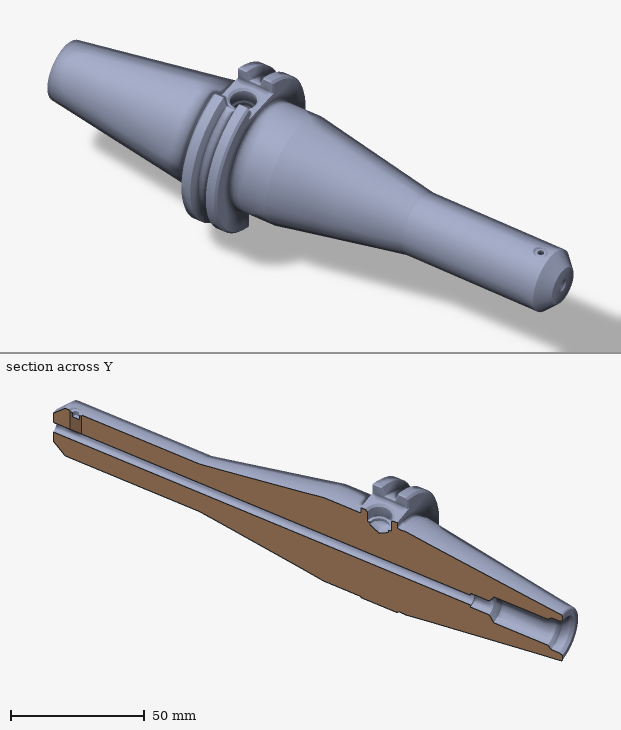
import cadquery as cq
import math

total_length = 220.6

taper_length = 68.5
gauge_dia = 44.4
taper_ratio = 7 / 24
tip_fillet = 1.0

neck_dia = 44.0
neck_lead = 0.5

flange_start = 71.5
flange_width = 15.9
flange_dia = 63.5
flange_chamfer = 0.9
flange_root_fillet = 0.7
groove_root_dia = 56.3
groove_root_width = 4.0
groove_top_width = 6.8

collar_dia = 44.4
collar_end = 103.5
shank_start = 157.3
shank_dia = 25.4
nose_chamfer = 5.0

slot_width = 16.0
upper_slot_floor = 25.0
lower_slot_floor = 22.7
slot_corner_fillet = 0.7
slot_edge_chamfer = 0.55

dimple_mouth_dia = 12.0
dimple_entry_dia = 10.1
dimple_drill_dia = 8.0
dimple_entry_depth = 5.7
dimple_depth = 7.0

bore_mouth_dia = 18.0
bore_mouth_length = 1.3
counterbore_dia = 16.5
counterbore_depth = 4.9
thread_core_dia = 13.5
thread_depth = 29.8
pilot_dia = 7.0
pilot_depth = 39.7
coolant_dia = 4.9

drill_point_angle = 118.0

screw_setback = 9.7
screw_dia = 4.9
screw_recess = 0.7
screw_mouth_dia = 6.0
socket_width = 2.5
socket_depth = 2.2

tip_dia = gauge_dia - taper_length * taper_ratio
flange_end = flange_start + flange_width
flange_middle = flange_start + flange_width / 2
flange_radius = flange_dia / 2
shank_radius = shank_dia / 2
screw_x = total_length - screw_setback
screw_top = shank_radius - screw_recess
screw_bottom = coolant_dia / 2


def cone_length(large_dia, small_dia):
    """Length of a drill point that narrows from one diameter to another."""
    return (large_dia - small_dia) / 2 / math.tan(math.radians(drill_point_angle / 2))


def revolved(profile):
    """Solid of revolution about X from (x, radius) points."""
    first_x = profile[0][0]
    last_x = profile[-1][0]
    outline = [(first_x, 0), *profile, (last_x, 0)]
    return cq.Workplane("XY").polyline(outline).close().revolve(360, (0, 0, 0), (1, 0, 0))


def revolved_upright(outline, x):
    """Solid of revolution about the vertical line at x from a closed (radius, z) outline."""
    turned = cq.Workplane("XZ").polyline(outline).close().revolve(360, (0, 0, 0), (0, 1, 0))
    return turned.translate((x, 0, 0))


def taper():
    return revolved([
        (0, tip_dia / 2),
        (taper_length, gauge_dia / 2),
        (taper_length + neck_lead, neck_dia / 2),
        (flange_start, neck_dia / 2),
    ]).faces("<X").edges().fillet(tip_fillet)


def slot_cutter(floor, side):
    """Block that opens a drive slot outward in Z on the given side."""
    height = flange_radius
    block = cq.Workplane("XY").box(flange_width, slot_width, height)
    return block.translate((flange_middle, 0, side * (floor + height / 2)))


def slot_wall_edges(body, at_floor):
    """Edges in the slot walls: the floor corners, or all the others."""
    tolerance = 0.002
    found = []
    for edge in body.edges().vals():
        box = edge.BoundingBox()
        on_wall = box.ylen < tolerance and abs(abs(box.center.y) - slot_width / 2) < tolerance
        floor = upper_slot_floor if box.center.z > 0 else lower_slot_floor
        on_floor = abs(abs(box.center.z) - floor) < tolerance
        if on_wall and on_floor == at_floor:
            found.append(edge)
    return body.newObject(found)


def flange():
    body = revolved([
        (flange_start, flange_radius - flange_chamfer),
        (flange_start + flange_chamfer, flange_radius),
        (flange_middle - groove_top_width / 2, flange_radius),
        (flange_middle - groove_root_width / 2, groove_root_dia / 2),
        (flange_middle + groove_root_width / 2, groove_root_dia / 2),
        (flange_middle + groove_top_width / 2, flange_radius),
        (flange_end - flange_chamfer, flange_radius),
        (flange_end, flange_radius - flange_chamfer),
    ])
    body = body.cut(slot_cutter(upper_slot_floor, 1)).cut(slot_cutter(lower_slot_floor, -1))
    body = slot_wall_edges(body, at_floor=False).chamfer(slot_edge_chamfer)
    return slot_wall_edges(body, at_floor=True).fillet(slot_corner_fillet)


def nose():
    return revolved([
        (flange_end, collar_dia / 2),
        (collar_end, collar_dia / 2),
        (shank_start, shank_radius),
        (total_length - nose_chamfer, shank_radius),
        (total_length, shank_radius - nose_chamfer),
    ])


def flange_dimple():
    mouth_chamfer = (dimple_mouth_dia - dimple_entry_dia) / 2
    floor = upper_slot_floor
    return revolved_upright([
        (0, floor),
        (dimple_mouth_dia / 2, floor),
        (dimple_entry_dia / 2, floor - mouth_chamfer),
        (dimple_entry_dia / 2, floor - dimple_entry_depth),
        (dimple_drill_dia / 2, floor - dimple_entry_depth),
        (dimple_drill_dia / 2, floor - dimple_depth),
        (0, floor - dimple_depth - cone_length(dimple_drill_dia, 0)),
    ], flange_middle)


def axial_bore():
    step = (counterbore_dia - thread_core_dia) / 2
    return revolved([
        (0, bore_mouth_dia / 2),
        (bore_mouth_length, counterbore_dia / 2),
        (counterbore_depth, counterbore_dia / 2),
        (counterbore_depth + step, thread_core_dia / 2),
        (thread_depth, thread_core_dia / 2),
        (thread_depth + cone_length(thread_core_dia, pilot_dia), pilot_dia / 2),
        (pilot_depth, pilot_dia / 2),
        (pilot_depth, coolant_dia / 2),
        (total_length, coolant_dia / 2),
    ])


def screw_hole():
    """Cross hole into the axial bore, widened at the shank surface."""
    mouth_chamfer = (screw_mouth_dia - screw_dia) / 2
    return revolved_upright([
        (0, 0),
        (screw_dia / 2, 0),
        (screw_dia / 2, shank_radius - mouth_chamfer),
        (screw_mouth_dia / 2, shank_radius),
        (0, shank_radius),
    ], screw_x)


def flange_roots(body):
    """Circles where the neck and the collar run into the flange faces."""
    root_radius = {flange_start: neck_dia / 2, flange_end: collar_dia / 2}
    roots = []
    for edge in body.edges("%CIRCLE").vals():
        for x, radius in root_radius.items():
            if math.isclose(edge.Center().x, x) and math.isclose(edge.radius(), radius):
                roots.append(edge)
    return roots


def make_holder():
    body = taper().union(flange()).union(nose())
    body = body.newObject(flange_roots(body)).fillet(flange_root_fillet)
    return body.cut(flange_dimple()).cut(axial_bore()).cut(screw_hole())


def make_set_screw():
    blank = cq.Workplane("XY").workplane(offset=screw_bottom).center(screw_x, 0)
    blank = blank.circle(screw_dia / 2).extrude(screw_top - screw_bottom)
    socket_circle_dia = socket_width / math.cos(math.radians(30))
    return blank.faces(">Z").workplane().polygon(6, socket_circle_dia).cutBlind(-socket_depth)


holder = make_holder()
set_screw = make_set_screw()
result = cq.Compound.makeCompound([holder.val(), set_screw.val()])